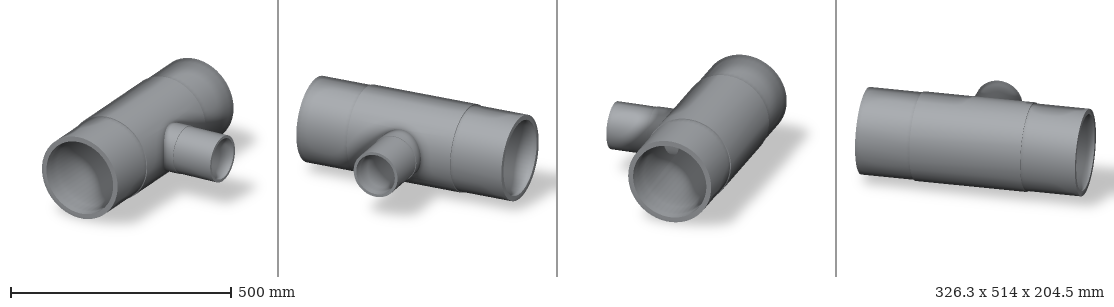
import cadquery as cq

run_length = 514.0
run_diameter = 200.0
run_bore = 176.5

body_length = 259.0
body_diameter = 204.5

branch_reach = 224.0
branch_diameter = 110.0
branch_bore = 96.5
collar_reach = 126.5
collar_diameter = 112.5


def run_cylinder(diameter, length):
    """Cylinder along Y, centred on the origin."""
    return cq.Workplane("XZ").circle(diameter / 2).extrude(length / 2, both=True)


def branch_cylinder(diameter, reach):
    """Cylinder from the run axis out along +X."""
    return cq.Workplane("YZ").circle(diameter / 2).extrude(reach)


outside = (
    run_cylinder(run_diameter, run_length)
    .union(run_cylinder(body_diameter, body_length))
    .union(branch_cylinder(collar_diameter, collar_reach))
    .union(branch_cylinder(branch_diameter, branch_reach))
)

result = (
    outside
    .cut(run_cylinder(run_bore, run_length))
    .cut(branch_cylinder(branch_bore, branch_reach))
)